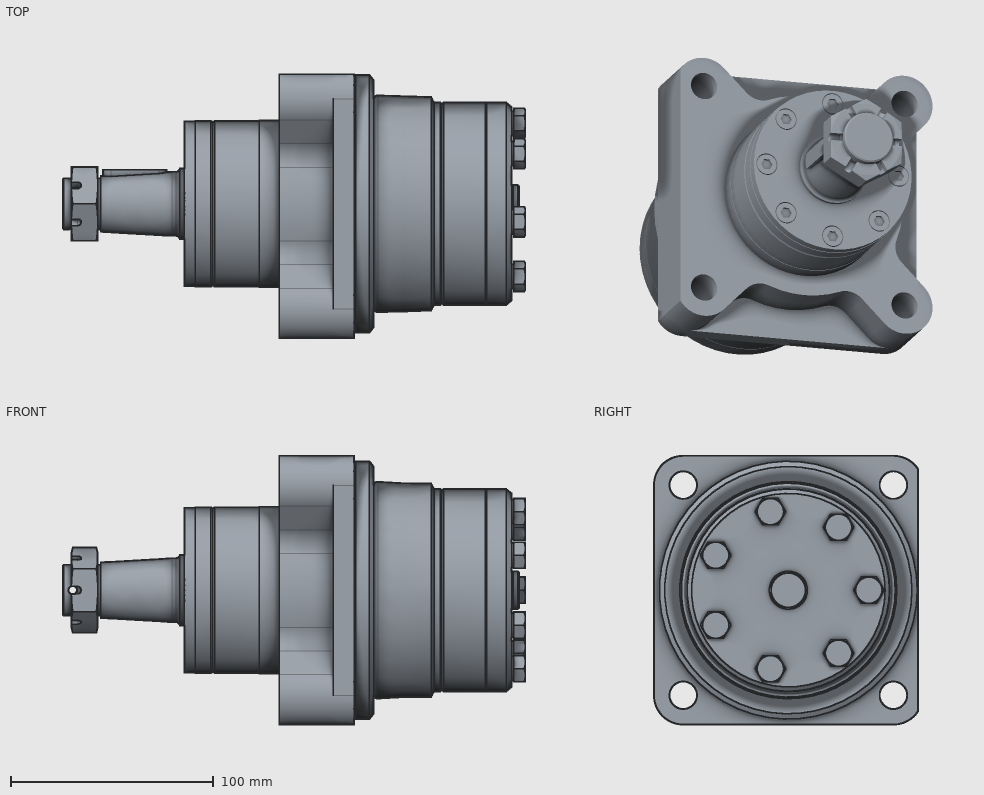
import cadquery as cq
import math


SHAFT_TIP_X = 0
TAPER_START_X = 18.7
TAPER_END_X = 53.9
SHAFT_LAND_END_X = 56.0
SHAFT_COLLAR_X = 57.8
NOSE_X = 60.0
NOSE_STEP_X = 65.5
NOSE_GROOVE_START_X = 73
NOSE_GROOVE_END_X = 75.0
HUB_X = 97.0
FLANGE_FRONT_X = 106.8
FLANGE_STEP_X = 133.5
FLANGE_REAR_X = 143.8
RING_X = 144.5
RING_CHAMFER_X = 151.4
RING_REAR_X = 153.5
TAPERED_BODY_END_X = 181.7
TAPERED_BODY_SHOULDER_X = 182.6
DRUM_X = 183.3
DRUM_GROOVE_START_X = 186.3
DRUM_GROOVE_END_X = 188.0
SEAM_START_X = 208.5
SEAM_END_X = 209.1
DRUM_CHAMFER_X = 218.7
DRUM_REAR_X = 221.5
PLUG_RIM_X = 222.4
PLUG_CHAMFER_X = 224.5
PLUG_END_X = 225.3
BOLT_HEAD_X = 222.5
BOLT_END_X = 228.3

SHAFT_TIP_DIA = 25.3
SHAFT_TIP_CHAMFER = 0.7
TAPER_SMALL_DIA = 27.6
SHAFT_LAND_DIA = 31.7
SHAFT_COLLAR_DIA = 35.0
COTTER_HOLE_DIA = 4.0
COTTER_HOLE_X = 5.0

NOSE_DIA = 81.5
NOSE_BODY_DIA = 82.0
HUB_DIA = 82.5
NOSE_GROOVE_DEPTH = 0.7
RING_DIA = 127.2
RING_REAR_DIA = 122.0
RING_STEP_DIA = 126.0
TAPERED_BODY_FRONT_DIA = 107.0
TAPERED_BODY_REAR_DIA = 105.5
TAPERED_BODY_FILLET = 2.0
TAPERED_BODY_SHOULDER_DIA = 101.8
DRUM_DIA = 100.0
DRUM_REAR_DIA = 95.5
DRUM_GROOVE_DEPTH = 1.0
SEAM_DEPTH = 0.2
PLUG_BASE_DIA = 18.0
PLUG_RIM_DIA = 18.7
PLUG_END_DIA = 17.0

FLANGE_HOLE_DIA = 13.5
FLANGE_HOLE_OFFSET = 51.8
FLANGE_HALF = 66.32
LOBE_RADIUS = FLANGE_HALF - FLANGE_HOLE_OFFSET
FLAT_SIDE_Y = FLANGE_HALF - 2.3
BULGE_RADIUS = 51.1
SCALLOP_FILLET = 11.0
SCALLOPED_SIDES = 3

SCREW_COUNT = 8
SCREW_CIRCLE_RADIUS = 34.0
SCREW_RECESS_DIA = 11.0
SCREW_HEAD_DIA = 10.0
SCREW_RECESS_DEPTH = 2.7
SCREW_SOCKET_FLATS = 5.0
SCREW_SOCKET_DEPTH = 1.8

BOLT_COUNT = 7
BOLT_CIRCLE_RADIUS = 39.7
BOLT_WASHER_DIA = 12.0
BOLT_FLATS = 13.0
BOLT_CHAMFER = 0.7

NUT_FRONT_X = 4.3
NUT_REAR_X = 17.4
NUT_FLATS = 36.5
NUT_CHAMFER = 0.7
NUT_SLOT_COUNT = 6
NUT_SLOT_WIDTH = 3.7
NUT_SLOT_END_X = 9.1

KEY_START_X = 19.9
KEY_END_X = 51.4
KEY_WIDTH = 8.0
KEY_TOP_Y = 17.0
KEY_BOTTOM_Y = 10.0


def disc(diameter, start_x, end_x, y=0, z=0):
    """Cylinder parallel to X."""
    return cq.Workplane("YZ", origin=(start_x, y, z)).circle(diameter / 2).extrude(end_x - start_x)


def hexagon(flats, start_x, end_x, corner_angle, y=0, z=0):
    """Hexagonal prism parallel to X; corner_angle turns one corner away from +Y."""
    prism = (
        cq.Workplane("YZ")
        .polygon(6, flats / math.cos(math.pi / 6))
        .extrude(end_x - start_x)
        .rotate((0, 0, 0), (1, 0, 0), corner_angle)
    )
    return prism.translate((start_x, y, z))


def chamfered_cylinder(diameter, end_diameter, start_x, end_x, chamfer, both_ends):
    """Cylinder on the X axis that narrows to end_diameter over the chamfer length."""
    outer = diameter / 2
    inner = end_diameter / 2
    profile = cq.Workplane("XY").moveTo(start_x, 0)
    if both_ends:
        profile = profile.lineTo(start_x, inner).lineTo(start_x + chamfer, outer)
    else:
        profile = profile.lineTo(start_x, outer)
    profile = profile.lineTo(end_x - chamfer, outer).lineTo(end_x, inner).lineTo(end_x, 0).close()
    return profile.revolve(360, (0, 0, 0), (1, 0, 0))


def around_axis(count, radius):
    """Evenly spaced (y, z) places on a circle around X, the first one on +Y."""
    step = 2 * math.pi / count
    return [(radius * math.cos(i * step), radius * math.sin(i * step)) for i in range(count)]


def revolved_core():
    """Shaft, nose, hub, ring, body, drum and plug as one turned profile."""
    collar_fillet_angle = math.pi / 4
    fillet_length = SHAFT_COLLAR_X - SHAFT_LAND_END_X
    fillet_rise = (SHAFT_COLLAR_DIA - SHAFT_LAND_DIA) / 2
    fillet_middle = (
        SHAFT_LAND_END_X + fillet_length * math.sin(collar_fillet_angle),
        SHAFT_LAND_DIA / 2 + fillet_rise * (1 - math.cos(collar_fillet_angle)),
    )
    ring_root_x = (FLANGE_STEP_X + FLANGE_REAR_X) / 2
    shaft = (
        cq.Workplane("XY")
        .moveTo(SHAFT_TIP_X, 0)
        .lineTo(SHAFT_TIP_X, SHAFT_TIP_DIA / 2 - SHAFT_TIP_CHAMFER)
        .lineTo(SHAFT_TIP_X + SHAFT_TIP_CHAMFER, SHAFT_TIP_DIA / 2)
        .lineTo(TAPER_START_X, SHAFT_TIP_DIA / 2)
        .lineTo(TAPER_START_X, TAPER_SMALL_DIA / 2)
        .lineTo(TAPER_END_X, SHAFT_LAND_DIA / 2)
        .lineTo(SHAFT_LAND_END_X, SHAFT_LAND_DIA / 2)
        .threePointArc(fillet_middle, (SHAFT_COLLAR_X, SHAFT_COLLAR_DIA / 2))
        .lineTo(NOSE_X, SHAFT_COLLAR_DIA / 2)
    )
    nose = (
        shaft.lineTo(NOSE_X, NOSE_DIA / 2)
        .lineTo(NOSE_STEP_X, NOSE_DIA / 2)
        .lineTo(NOSE_STEP_X, NOSE_BODY_DIA / 2)
        .lineTo(HUB_X, NOSE_BODY_DIA / 2)
        .lineTo(HUB_X, HUB_DIA / 2)
        .lineTo(ring_root_x, HUB_DIA / 2)
    )
    rear = (
        nose.lineTo(ring_root_x, RING_STEP_DIA / 2)
        .lineTo(RING_X, RING_STEP_DIA / 2)
        .lineTo(RING_X, RING_DIA / 2)
        .lineTo(RING_CHAMFER_X, RING_DIA / 2)
        .lineTo(RING_REAR_X, RING_REAR_DIA / 2)
        .lineTo(RING_REAR_X, TAPERED_BODY_FRONT_DIA / 2 - TAPERED_BODY_FILLET)
        .radiusArc((RING_REAR_X + TAPERED_BODY_FILLET, TAPERED_BODY_FRONT_DIA / 2), TAPERED_BODY_FILLET)
        .lineTo(TAPERED_BODY_END_X, TAPERED_BODY_REAR_DIA / 2)
        .lineTo(TAPERED_BODY_SHOULDER_X, TAPERED_BODY_SHOULDER_DIA / 2)
        .lineTo(DRUM_X, DRUM_DIA / 2)
        .lineTo(DRUM_CHAMFER_X, DRUM_DIA / 2)
        .lineTo(DRUM_REAR_X, DRUM_REAR_DIA / 2)
        .lineTo(DRUM_REAR_X, PLUG_BASE_DIA / 2)
    )
    plug = (
        rear.lineTo(PLUG_RIM_X, PLUG_BASE_DIA / 2)
        .lineTo(PLUG_RIM_X, PLUG_RIM_DIA / 2)
        .lineTo(PLUG_CHAMFER_X, PLUG_RIM_DIA / 2)
        .lineTo(PLUG_END_X, PLUG_END_DIA / 2)
        .lineTo(PLUG_END_X, 0)
        .close()
    )
    return plug.revolve(360, (0, 0, 0), (1, 0, 0))


def ring_groove(outer_dia, depth, start_x, end_x):
    """Cutter for a groove around a cylinder on the X axis."""
    clearance = 2.3
    outer = disc(outer_dia + clearance, start_x, end_x)
    return outer.cut(disc(outer_dia - 2 * depth, start_x, end_x))


def v_groove(outer_dia, depth, start_x, end_x):
    """Cutter for a V groove around a cylinder on the X axis."""
    clearance = 2.3
    rim = outer_dia / 2
    return (
        cq.Workplane("XY")
        .moveTo(start_x, rim + clearance)
        .lineTo(start_x, rim)
        .lineTo((start_x + end_x) / 2, rim - depth)
        .lineTo(end_x, rim)
        .lineTo(end_x, rim + clearance)
        .close()
        .revolve(360, (0, 0, 0), (1, 0, 0))
    )


def turned(point, quarter_turns):
    """A (y, z) point turned about X by a number of quarter turns."""
    y, z = point
    for _ in range(quarter_turns):
        y, z = -z, y
    return (y, z)


def mirrored(point):
    """A (y, z) point mirrored to the other side in Y."""
    return (-point[0], point[1])


def lobed_block():
    """Flange block: four lobes, hollows between them on three sides, flat on +Y."""
    diagonal = math.sqrt(0.5)
    fillet_reach = BULGE_RADIUS + SCALLOP_FILLET
    flank_offset = math.sqrt(2) * (LOBE_RADIUS + SCALLOP_FILLET)
    fillet_y = (math.sqrt(2 * fillet_reach**2 - flank_offset**2) - flank_offset) / 2
    fillet_z = fillet_y + flank_offset
    flank_top = (FLANGE_HOLE_OFFSET - LOBE_RADIUS * diagonal, FLANGE_HOLE_OFFSET + LOBE_RADIUS * diagonal)
    flank_end = (fillet_y + SCALLOP_FILLET * diagonal, fillet_z - SCALLOP_FILLET * diagonal)
    bulge_end = (fillet_y * BULGE_RADIUS / fillet_reach, fillet_z * BULGE_RADIUS / fillet_reach)
    fillet_angle = (math.atan2(fillet_z, fillet_y) - 5 * math.pi / 4) / 2
    fillet_middle = (
        fillet_y + SCALLOP_FILLET * math.cos(fillet_angle),
        fillet_z + SCALLOP_FILLET * math.sin(fillet_angle),
    )
    lobe_reach = FLANGE_HOLE_OFFSET + LOBE_RADIUS * diagonal
    lobe_middle = (-lobe_reach, lobe_reach)

    flat_reach = FLAT_SIDE_Y - FLANGE_HOLE_OFFSET
    flat_end = (FLAT_SIDE_Y, FLANGE_HOLE_OFFSET + math.sqrt(LOBE_RADIUS**2 - flat_reach**2))
    cut_lobe_middle = (FLANGE_HOLE_OFFSET, FLANGE_HALF)

    outline = (
        cq.Workplane("YZ", origin=(FLANGE_FRONT_X, 0, 0))
        .moveTo(*flat_end)
        .threePointArc(cut_lobe_middle, flank_top)
    )
    for side in range(SCALLOPED_SIDES):
        outline = (
            outline.lineTo(*turned(flank_end, side))
            .threePointArc(turned(fillet_middle, side), turned(bulge_end, side))
            .threePointArc(turned((0, BULGE_RADIUS), side), turned(mirrored(bulge_end), side))
            .threePointArc(turned(mirrored(fillet_middle), side), turned(mirrored(flank_end), side))
            .lineTo(*turned(mirrored(flank_top), side))
        )
        if side < SCALLOPED_SIDES - 1:
            outline = outline.threePointArc(turned(lobe_middle, side), turned(flank_top, side + 1))
    outline = outline.threePointArc(turned(mirrored(cut_lobe_middle), 2), turned(mirrored(flat_end), 2))
    return outline.close().extrude(FLANGE_REAR_X - FLANGE_FRONT_X)


def flange():
    """Lobed block with its hollows closed at the rear by a plate, and four mounting holes."""
    thickness = FLANGE_REAR_X - FLANGE_STEP_X
    width = FLAT_SIDE_Y + FLANGE_HALF
    middle_y = FLAT_SIDE_Y - width / 2
    lobe_spacing = 2 * FLANGE_HOLE_OFFSET
    upright = cq.Workplane("YZ", origin=(FLANGE_STEP_X, 0, 0)).rect(lobe_spacing, 2 * FLANGE_HALF)
    crossbar = cq.Workplane("YZ", origin=(FLANGE_STEP_X, middle_y, 0)).rect(width, lobe_spacing)
    plate = lobed_block().union(upright.extrude(thickness)).union(crossbar.extrude(thickness))
    for y in (-FLANGE_HOLE_OFFSET, FLANGE_HOLE_OFFSET):
        for z in (-FLANGE_HOLE_OFFSET, FLANGE_HOLE_OFFSET):
            plate = plate.cut(disc(FLANGE_HOLE_DIA, FLANGE_FRONT_X, FLANGE_REAR_X, y, z))
    return plate


def screw_recess(y, z):
    """Cutter for the gap around a flush socket screw head and for its hex socket."""
    recess_end_x = NOSE_X + SCREW_RECESS_DEPTH
    gap = disc(SCREW_RECESS_DIA, NOSE_X, recess_end_x, y, z)
    gap = gap.cut(disc(SCREW_HEAD_DIA, NOSE_X, recess_end_x, y, z))
    return gap.union(hexagon(SCREW_SOCKET_FLATS, NOSE_X, NOSE_X + SCREW_SOCKET_DEPTH, 0, y, z))


def bolt_head(y, z):
    """Hex bolt head with its washer face, corners pointing to +Y and -Y."""
    corner_dia = BOLT_FLATS / math.cos(math.pi / 6)
    envelope = chamfered_cylinder(corner_dia, BOLT_FLATS, BOLT_HEAD_X, BOLT_END_X, BOLT_CHAMFER, False)
    head = hexagon(BOLT_FLATS, BOLT_HEAD_X, BOLT_END_X, 0).intersect(envelope)
    return head.translate((0, y, z)).union(disc(BOLT_WASHER_DIA, DRUM_REAR_X, BOLT_HEAD_X, y, z))


def make_key():
    """Parallel key with round ends, seated on the +Y side of the shaft."""
    length = KEY_END_X - KEY_START_X
    middle_x = (KEY_START_X + KEY_END_X) / 2
    return (
        cq.Workplane("XZ", origin=(middle_x, KEY_TOP_Y, 0))
        .slot2D(length, KEY_WIDTH)
        .extrude(KEY_TOP_Y - KEY_BOTTOM_Y)
    )


def make_nut():
    """Hex nut on the shaft tip, with radial cotter slots through its front face."""
    corner_dia = NUT_FLATS / math.cos(math.pi / 6)
    envelope = chamfered_cylinder(corner_dia, NUT_FLATS, NUT_FRONT_X, NUT_REAR_X, NUT_CHAMFER, True)
    nut = hexagon(NUT_FLATS, NUT_FRONT_X, NUT_REAR_X, 90).intersect(envelope)
    slot_root_x = NUT_SLOT_END_X - NUT_SLOT_WIDTH / 2
    slot = (
        cq.Workplane("XZ")
        .moveTo(NUT_FRONT_X, -NUT_SLOT_WIDTH / 2)
        .lineTo(slot_root_x, -NUT_SLOT_WIDTH / 2)
        .threePointArc((NUT_SLOT_END_X, 0), (slot_root_x, NUT_SLOT_WIDTH / 2))
        .lineTo(NUT_FRONT_X, NUT_SLOT_WIDTH / 2)
        .close()
        .extrude(NUT_FLATS)
    )
    for i in range(NUT_SLOT_COUNT):
        nut = nut.cut(slot.rotate((0, 0, 0), (1, 0, 0), i * 360 / NUT_SLOT_COUNT))
    return nut.cut(disc(SHAFT_TIP_DIA, NUT_FRONT_X, NUT_REAR_X))


def make_housing():
    """Motor housing with its shaft, flange, screw heads and bolt heads."""
    housing = revolved_core().union(flange())
    housing = housing.cut(
        v_groove(NOSE_BODY_DIA, NOSE_GROOVE_DEPTH, NOSE_GROOVE_START_X, NOSE_GROOVE_END_X)
    )
    housing = housing.cut(v_groove(DRUM_DIA, DRUM_GROOVE_DEPTH, DRUM_GROOVE_START_X, DRUM_GROOVE_END_X))
    housing = housing.cut(ring_groove(DRUM_DIA, SEAM_DEPTH, SEAM_START_X, SEAM_END_X))
    for y, z in around_axis(SCREW_COUNT, SCREW_CIRCLE_RADIUS):
        housing = housing.cut(screw_recess(y, z))
    for y, z in around_axis(BOLT_COUNT, BOLT_CIRCLE_RADIUS):
        housing = housing.union(bolt_head(y, z))
    cotter_hole = (
        cq.Workplane("XZ", origin=(COTTER_HOLE_X, 0, 0))
        .circle(COTTER_HOLE_DIA / 2)
        .extrude(SHAFT_TIP_DIA, both=True)
    )
    return housing.cut(cotter_hole).cut(make_key())


housing = make_housing()
nut = make_nut()
key = make_key()

result = cq.Compound.makeCompound([housing.solids().val(), nut.solids().val(), key.val()])